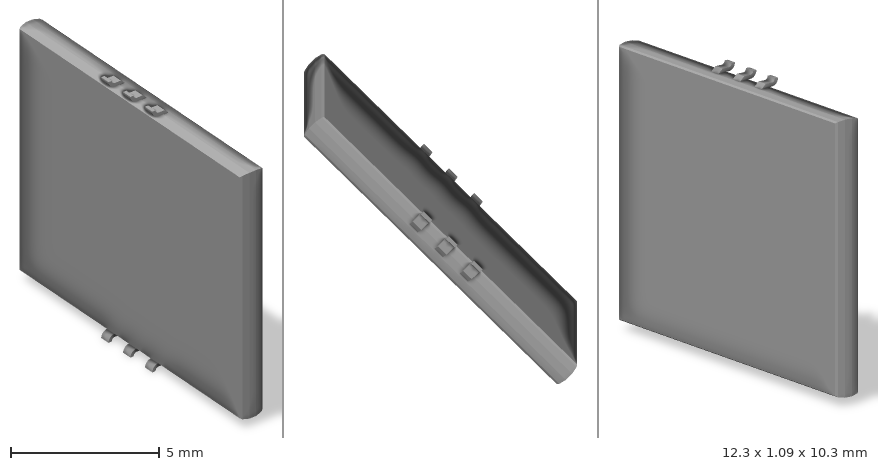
import cadquery as cq
import math

package_width = 12.3
package_height = 9.75
package_depth = 0.97
rim_band_depth = 0.3
draft_inset = 0.05
bevel_inset = 0.05
bevel_depth = 0.07

leads_per_edge = 3
lead_pitch = 1.2
lead_width = 0.4
lead_thickness = 0.14
lead_rise = 0.16
lead_run = 0.17
lead_root_y = 0.09
inner_bend_radius = 0.14
lead_overhang = 0.12
elbow_offset = 0.05

rim_z = package_height / 2
lead_gap = lead_rise - lead_thickness
lead_tip_y = -package_depth / 2 - lead_overhang
outer_bend_radius = inner_bend_radius + lead_thickness


def plate_outline(plane, width):
    """Cross-section of the plate: first axis across the width, second along Y."""
    rim_half = width / 2
    draft_half = rim_half - draft_inset
    face_half = draft_half - bevel_inset
    rim_y = rim_band_depth / 2
    face_y = package_depth / 2
    bevel_y = face_y - bevel_depth
    half_outline = [
        (rim_half, rim_y),
        (draft_half, bevel_y),
        (face_half, face_y),
    ]
    right_side = [(u, -y) for u, y in reversed(half_outline)] + half_outline
    left_side = [(-u, -y) for u, y in right_side]
    return cq.Workplane(plane).polyline(right_side + left_side).close()


def make_package():
    across_x = cq.Plane(origin=(0, 0, 0), xDir=(1, 0, 0), normal=(0, 0, 1))
    across_z = cq.Plane(origin=(0, 0, 0), xDir=(0, 0, -1), normal=(1, 0, 0))
    x_profile = plate_outline(across_x, package_width).extrude(package_height / 2, both=True)
    z_profile = plate_outline(across_z, package_height).extrude(package_width / 2, both=True)
    return x_profile.intersect(z_profile)


def make_top_lead(x_center):
    """Lead rising at a slant from the rim, running forward and curling up to its tip."""
    diagonal = math.cos(math.radians(45))
    elbow_y = lead_root_y - lead_run
    inner_elbow_y = elbow_y - elbow_offset
    inner_root_y = inner_elbow_y + lead_gap * lead_run / lead_rise
    upper_z = rim_z + lead_rise
    lower_z = rim_z + lead_gap
    tip_z = upper_z + inner_bend_radius
    bend_y = lead_tip_y + outer_bend_radius
    outer_mid = (bend_y - outer_bend_radius * diagonal, tip_z - outer_bend_radius * diagonal)
    inner_mid = (bend_y - inner_bend_radius * diagonal, tip_z - inner_bend_radius * diagonal)
    return (
        cq.Workplane("YZ")
        .workplane(offset=x_center)
        .moveTo(lead_root_y, rim_z)
        .lineTo(elbow_y, upper_z)
        .lineTo(bend_y, upper_z)
        .threePointArc(inner_mid, (bend_y - inner_bend_radius, tip_z))
        .lineTo(lead_tip_y, tip_z)
        .threePointArc(outer_mid, (bend_y, lower_z))
        .lineTo(inner_elbow_y, lower_z)
        .lineTo(inner_root_y, rim_z)
        .close()
        .extrude(lead_width / 2, both=True)
    )


package = make_package()

leads = []
for index in range(leads_per_edge):
    lead_x = (index - (leads_per_edge - 1) / 2) * lead_pitch
    top_lead = make_top_lead(lead_x)
    leads.append(top_lead.val())
    leads.append(top_lead.mirror("XY").val())

result = cq.Compound.makeCompound([package.val(), *leads])